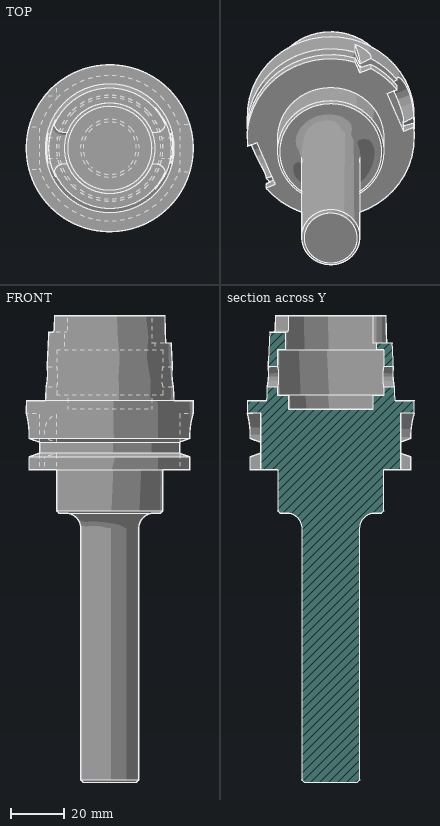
import cadquery as cq

total_height = 175.9
flange_top = 143.9
flange_bottom = 117.9
body_bottom = 101.5

shank_radius = 11.0
shank_chamfer = 1.0
body_radius = 20.0
body_edge_chamfer = 0.9
neck_fillet_radius = 5.6

flange_radius = 31.5
groove_radius = 27.5
groove_center = 126.2
groove_floor_width = 3.9
groove_mouth_width = 6.9

taper_base_radius = 24.3
taper_top_radius = 22.7
bore_radius = 17.0
bore_floor_radius = 15.8
bore_straight_depth = 12.8
undercut_diameter = 40.0
undercut_end_depth = 29.9
bore_depth = 35.2

notch_width = 12.0
shallow_notch_depth = 6.2
deep_notch_depth = 10.2
notch_corner_radius = 3.5
notch_round_end = 21.0
notch_foot_fillet = 1.0

cross_hole_radius = 3.78
cross_hole_height = 152.9

drive_slot_radius = 8.1
wide_drive_slot_radius = 9.0
drive_slot_floor = 26.4
drive_slot_top = 139.1
corner_slot_radius = 7.0
corner_slot_floor = 20.0
corner_slot_edge = 19.7
corner_slot_top = 139.1


def turned_body():
    neck_bottom = body_bottom - neck_fillet_radius
    neck_top_radius = shank_radius + neck_fillet_radius
    arc_offset = neck_fillet_radius * (1 - 0.5 ** 0.5)
    half_mouth = groove_mouth_width / 2
    half_floor = groove_floor_width / 2
    profile = (
        cq.Workplane("XZ")
        .lineTo(shank_radius - shank_chamfer, 0)
        .lineTo(shank_radius, shank_chamfer)
        .lineTo(shank_radius, neck_bottom)
        .threePointArc(
            (shank_radius + arc_offset, body_bottom - arc_offset),
            (neck_top_radius, body_bottom),
        )
        .lineTo(body_radius - body_edge_chamfer, body_bottom)
        .lineTo(body_radius, body_bottom + body_edge_chamfer)
        .lineTo(body_radius, flange_bottom)
        .lineTo(flange_radius, flange_bottom)
        .lineTo(flange_radius, groove_center - half_mouth)
        .lineTo(groove_radius, groove_center - half_floor)
        .lineTo(groove_radius, groove_center + half_floor)
        .lineTo(flange_radius, groove_center + half_mouth)
        .lineTo(flange_radius, flange_top)
        .lineTo(taper_base_radius, flange_top)
        .lineTo(taper_top_radius, total_height)
        .lineTo(0, total_height)
        .close()
    )
    return profile.revolve(360, (0, 0, 0), (0, 1, 0))


def bore():
    bore_bottom = total_height - bore_depth
    undercut_bottom = total_height - undercut_end_depth
    undercut_radius = undercut_diameter / 2
    profile = (
        cq.Workplane("XZ")
        .moveTo(0, bore_bottom)
        .lineTo(bore_floor_radius, bore_bottom)
        .lineTo(bore_floor_radius, undercut_bottom)
        .lineTo(undercut_radius, undercut_bottom)
        .lineTo(undercut_radius, total_height - bore_straight_depth)
        .lineTo(bore_radius, total_height - bore_straight_depth)
        .lineTo(bore_radius, total_height)
        .lineTo(0, total_height)
        .close()
    )
    return profile.revolve(360, (0, 0, 0), (0, 1, 0))


def rim_notch(side, depth):
    """Notch on the -X (side = -1) or +X (side = 1) rim, flaring outward with rounded corners."""
    half_width = notch_width / 2
    flare_half_width = half_width + notch_corner_radius
    flare_end = taper_base_radius + notch_corner_radius
    round_start = notch_round_end - notch_corner_radius
    arc_x = round_start + notch_corner_radius * 0.5 ** 0.5
    arc_offset = notch_corner_radius * (1 - 0.5 ** 0.5)
    outline = (
        cq.Workplane("XY", origin=(0, 0, total_height - depth))
        .moveTo(0, -half_width)
        .lineTo(side * round_start, -half_width)
        .threePointArc(
            (side * arc_x, -half_width - arc_offset),
            (side * notch_round_end, -flare_half_width),
        )
        .lineTo(side * flare_end, -flare_half_width)
        .lineTo(side * flare_end, flare_half_width)
        .lineTo(side * notch_round_end, flare_half_width)
        .threePointArc(
            (side * arc_x, half_width + arc_offset),
            (side * round_start, half_width),
        )
        .lineTo(0, half_width)
        .close()
    )
    return outline.extrude(depth)


def flange_slot(side, floor, center_y, radius, top):
    """Round-topped slot entering the flange along X, open at the flange underside."""
    arc_center = top - radius
    outline = (
        cq.Workplane("YZ", origin=(side * floor, 0, 0))
        .moveTo(center_y - radius, flange_bottom)
        .lineTo(center_y - radius, arc_center)
        .threePointArc((center_y, top), (center_y + radius, arc_center))
        .lineTo(center_y + radius, flange_bottom)
        .close()
    )
    return outline.extrude(side * flange_radius)


result = turned_body().cut(bore())

shallow_notch = rim_notch(-1, shallow_notch_depth).faces("<Z").edges().fillet(notch_foot_fillet)
result = result.cut(shallow_notch)
result = result.cut(rim_notch(1, deep_notch_depth))

cross_hole = (
    cq.Workplane("YZ")
    .center(0, cross_hole_height)
    .circle(cross_hole_radius)
    .extrude(flange_radius, both=True)
)
result = result.cut(cross_hole)

for side, radius in ((-1, drive_slot_radius), (1, wide_drive_slot_radius)):
    result = result.cut(flange_slot(side, drive_slot_floor, 0, radius, drive_slot_top))

corner_slot_center = corner_slot_edge + corner_slot_radius
result = result.cut(
    flange_slot(-1, corner_slot_floor, corner_slot_center, corner_slot_radius, corner_slot_top)
)